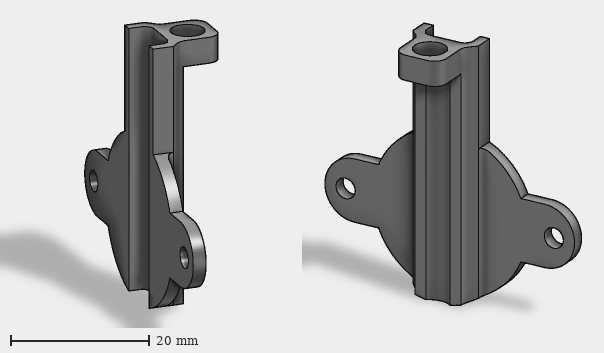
import cadquery as cq
import math

total_width = 42.0
plate_thickness = 2.0
disc_radius = 12.98
ear_radius = 5.0
ear_hole_x = 17.5
ear_hole_diameter = 3.2

top_z = 28.0
rail_half_width = 5.5
rail_shoulder_y = 3.15
rail_back_y = 5.35
channel_half_width = 3.95
channel_depth = 3.35
channel_corner_radius = 1.5
plate_fillet = rail_shoulder_y - plate_thickness

lug_half_width = 3.85
lug_back_y = 11.4
lug_height = 4.0
lug_corner_radius = 2.0
lug_root_fillet = 2.0
guide_diameter = 5.1
guide_hole_y = 7.55

groove_center_y = 6.9

rail_length = top_z + disc_radius


def plate_disc(thickness):
    """Disc with its front face on Y = 0."""
    return cq.Workplane("XZ").circle(disc_radius).extrude(-thickness)


def ears():
    """Round-ended bar that forms both ears, with a screw hole in each."""
    bar = cq.Workplane("XZ").slot2D(total_width, 2 * ear_radius).extrude(-plate_thickness)
    holes = (
        cq.Workplane("XZ")
        .pushPoints([(-ear_hole_x, 0), (ear_hole_x, 0)])
        .circle(ear_hole_diameter / 2)
        .extrude(-plate_thickness)
    )
    return bar.cut(holes)


def rail_and_lug():
    """Rail profile with 45-degree shoulders, drawn up into the lug and trimmed behind the rail below it."""
    shoulder_top_y = rail_shoulder_y + rail_half_width - lug_half_width
    tangent = lug_root_fillet * math.tan(math.radians(45 / 2))
    arc_sag = lug_root_fillet * (1 - math.cos(math.radians(45 / 2)))
    arc_rise = lug_root_fillet * math.sin(math.radians(45 / 2))
    arc_top_y = shoulder_top_y + tangent
    diagonal = tangent * math.cos(math.radians(45))
    body = (
        cq.Workplane("XY")
        .workplane(offset=-disc_radius)
        .moveTo(-rail_half_width, 0)
        .lineTo(rail_half_width, 0)
        .lineTo(rail_half_width, rail_shoulder_y)
        .lineTo(lug_half_width + diagonal, shoulder_top_y - diagonal)
        .threePointArc((lug_half_width + arc_sag, arc_top_y - arc_rise), (lug_half_width, arc_top_y))
        .lineTo(lug_half_width, lug_back_y)
        .lineTo(-lug_half_width, lug_back_y)
        .lineTo(-lug_half_width, arc_top_y)
        .threePointArc(
            (-lug_half_width - arc_sag, arc_top_y - arc_rise),
            (-lug_half_width - diagonal, shoulder_top_y - diagonal),
        )
        .lineTo(-rail_half_width, rail_shoulder_y)
        .close()
        .extrude(rail_length)
        .edges("|Z and >Y")
        .fillet(lug_corner_radius)
    )
    behind_rail = cq.Workplane("XY").box(
        2 * rail_half_width, lug_back_y - rail_back_y, rail_length - lug_height, centered=(True, False, False)
    ).translate((0, rail_back_y, -disc_radius))
    return body.cut(behind_rail)


def plate_fillets():
    """Concave strips blending the plate into both sides of the rail."""
    center_x = rail_half_width + plate_fillet
    center_y = plate_thickness + plate_fillet
    reach = plate_fillet * math.sin(math.radians(45))
    strip = (
        cq.Workplane("XY")
        .workplane(offset=-disc_radius)
        .moveTo(rail_half_width, plate_thickness)
        .lineTo(center_x, plate_thickness)
        .threePointArc((center_x - reach, center_y - reach), (rail_half_width, center_y))
        .close()
        .extrude(2 * disc_radius)
    )
    return strip.union(strip.mirror("YZ"))


def channel():
    """Open channel along the front of the rail, with rounded inner corners."""
    return (
        cq.Workplane("XY")
        .box(2 * channel_half_width, channel_depth, rail_length, centered=(True, False, False))
        .edges("|Z and >Y")
        .fillet(channel_corner_radius)
        .translate((0, 0, -disc_radius))
    )


def vertical_bore(center_y, bottom_z, length):
    """Upright cylinder of the guide diameter, on the X centre plane."""
    return (
        cq.Workplane("XY")
        .workplane(offset=bottom_z)
        .center(0, center_y)
        .circle(guide_diameter / 2)
        .extrude(length)
    )


def guide_hole():
    """Vertical hole through the lug."""
    return vertical_bore(guide_hole_y, top_z - lug_height, lug_height)


def rail_groove():
    """Shallow round groove along the back of the rail, below the lug."""
    return vertical_bore(groove_center_y, -disc_radius, rail_length - lug_height)


straight_rail_zone = cq.Workplane("XY").box(
    2 * rail_half_width, lug_back_y, top_z, centered=(True, False, False)
)
rail_envelope = plate_disc(lug_back_y).union(straight_rail_zone)
rail = rail_and_lug().intersect(rail_envelope)
blends = plate_fillets().intersect(plate_disc(lug_back_y))

result = (
    plate_disc(plate_thickness)
    .union(ears())
    .union(rail)
    .union(blends)
    .cut(channel())
    .cut(guide_hole())
    .cut(rail_groove())
)